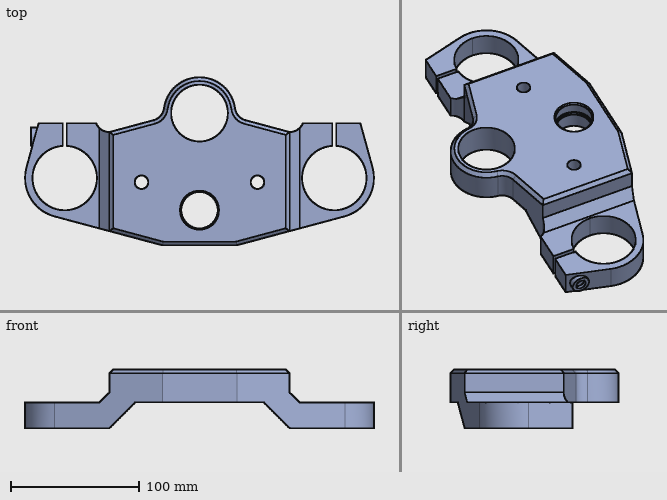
import cadquery as cq
import math

half_length = 136.0
height = 46.0
arm_thickness = 20.0
edge_slope = math.radians(15)

clamp_x = 105.0
clamp_y = 52.5
clamp_bore_radius = 25.0
clamp_radius = half_length - clamp_x
clamp_back_y = 95.0
lug_outer_x = 125.3
lug_inner_x = 80.5
slot_width = 3.0

plate_half_width = 70.0
plate_back_corner_y = 88.3
plate_chamfer = 3.0
ramp_size = 8.0
relief_mid_x = 77.2
relief_mid_y = 90.8

stem_y = 103.0
stem_bore_radius = 22.0
ring_radius = 28.0
ring_neck_radius = 11.0

mount_hole_x = 45.0
mount_hole_y = 49.2
mount_hole_radius = 5.2
key_hole_y = 27.5
key_hole_radius = 14.0
key_hole_chamfer = 1.0
key_groove_radius = 14.7
key_groove_top_depth = 10.0
key_groove_width = 2.7

boss_radius = 7.0
boss_y = 84.8
boss_face_x = -131.3
boss_socket_radius = 4.0
boss_socket_depth = 2.7


def tangent_to_clamp(x, y, side):
    """Point where the line from (x, y) touches the +X clamp's outer circle."""
    distance = math.hypot(clamp_x - x, clamp_y - y)
    bearing = math.atan2(y - clamp_y, x - clamp_x)
    angle = bearing + side * math.acos(clamp_radius / distance)
    return clamp_x + clamp_radius * math.cos(angle), clamp_y + clamp_radius * math.sin(angle)


def make_half_outline():
    """The +X half of the plan outline, up to full height."""
    front_run = clamp_x + clamp_radius * math.sin(edge_slope)
    front_touch_y = clamp_y - clamp_radius * math.cos(edge_slope)
    front_corner_x = front_run - front_touch_y / math.tan(edge_slope)
    outer_touch = tangent_to_clamp(lug_outer_x, clamp_back_y, -1)
    outline = (
        cq.Workplane("XY")
        .lineTo(front_corner_x, 0)
        .lineTo(front_run, front_touch_y)
        .threePointArc((half_length, clamp_y), outer_touch)
        .lineTo(lug_outer_x, clamp_back_y)
        .lineTo(lug_inner_x, clamp_back_y)
        .threePointArc((relief_mid_x, relief_mid_y), (plate_half_width, plate_back_corner_y))
        .lineTo(0, plate_back_corner_y + plate_half_width * math.tan(edge_slope))
        .close()
    )
    return outline.extrude(height)


def make_plan():
    """Plan outline with the stem ring, blended into the plate by neck fillets."""
    half = make_half_outline()
    ring = cq.Workplane("XY").center(0, stem_y).circle(ring_radius).extrude(height)
    plan = half.union(half.mirror("YZ")).union(ring).clean()
    reach = ring_radius + 2.7
    neck = cq.selectors.BoxSelector((-reach, stem_y - ring_radius, 0), (reach, stem_y, height))
    return plan.edges("|Z").edges(neck).fillet(ring_neck_radius)


def make_side_profile():
    """Stepped bar seen along Y: low arms, 45 degree ramps and a raised centre."""
    right_side = [
        (plate_half_width - arm_thickness, arm_thickness),
        (plate_half_width, 0),
        (half_length + 2.7, 0),
        (half_length + 2.7, arm_thickness),
        (plate_half_width + ramp_size, arm_thickness),
        (plate_half_width, arm_thickness + ramp_size),
        (plate_half_width, height),
    ]
    left_side = [(-x, z) for x, z in reversed(right_side)]
    depth = stem_y + ring_radius
    return cq.Workplane("XZ").polyline(right_side + left_side).close().extrude(-depth)


def make_hole(x, y, radius, depth=height):
    """Cylinder reaching down from the top of the plate."""
    return cq.Workplane("XY", origin=(x, y, height)).circle(radius).extrude(-depth)


def make_key_hole():
    """Through hole with a chamfered mouth and a shallow ring groove in its wall."""
    groove_z = height - key_groove_top_depth
    groove = cq.Workplane("XY", origin=(0, key_hole_y, groove_z)).circle(key_groove_radius)
    mouth = (
        cq.Workplane("XY", origin=(0, key_hole_y, height))
        .circle(key_hole_radius + key_hole_chamfer)
        .extrude(-key_hole_chamfer, taper=45)
    )
    hole = make_hole(0, key_hole_y, key_hole_radius)
    return hole.union(mouth).union(groove.extrude(-key_groove_width))


def make_clamp_slot(x):
    """Split running from the clamp bore out through the back face."""
    slot_length = clamp_back_y - clamp_y
    slot_y = clamp_y + slot_length / 2
    return cq.Workplane("XY").center(x, slot_y).rect(slot_width, slot_length).extrude(arm_thickness)


def make_boss_cylinder(radius, depth):
    """Cylinder running inward along X from the boss face."""
    origin = (boss_face_x, boss_y, arm_thickness / 2)
    return cq.Workplane("YZ", origin=origin).circle(radius).extrude(depth)


body = make_plan().intersect(make_side_profile())
body = body.faces(">Z").chamfer(plate_chamfer)

body = body.union(make_boss_cylinder(boss_radius, -boss_face_x - lug_outer_x + boss_radius))
body = body.cut(make_boss_cylinder(boss_socket_radius, boss_socket_depth))

body = body.cut(make_hole(0, stem_y, stem_bore_radius))
body = body.cut(make_key_hole())
for side in (-1, 1):
    body = body.cut(make_hole(side * mount_hole_x, mount_hole_y, mount_hole_radius))
    body = body.cut(make_hole(side * clamp_x, clamp_y, clamp_bore_radius))
    body = body.cut(make_clamp_slot(side * clamp_x))

result = body